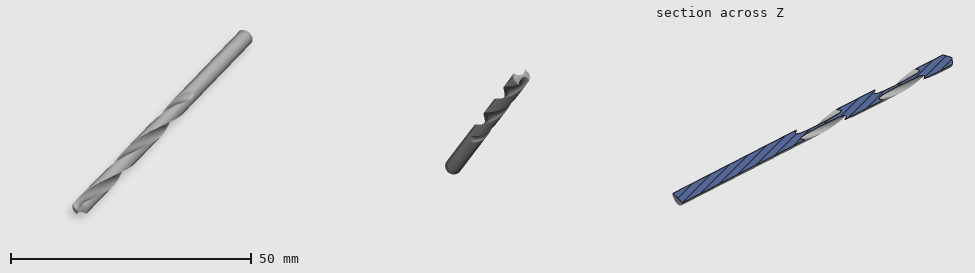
import cadquery as cq
import math


diameter = 3.5
radius = diameter / 2
overall_length = 70.0
point_angle = 118.0
point_length = radius / math.tan(math.radians(point_angle / 2))

flute_count = 2
flute_length = 40.0
flute_lead = 40.0
flute_radius = 1.2
half_web = 0.33
flute_angle = 121.0
centre_distance = half_web + flute_radius

runout_length = 6.2
runout_angle = 42.0
runout_end_slope = 0.7
clearance = 0.1
clear_distance = radius + flute_radius + clearance


def drill_blank():
    """Solid of revolution: cylinder with a conical point."""
    return (
        cq.Workplane("XY")
        .lineTo(radius, point_length)
        .lineTo(radius, overall_length)
        .lineTo(0, overall_length)
        .close()
        .revolve(360, (0, 0, 0), (0, 1, 0))
    )


def around_axis(distance, degrees, y):
    """Point at a distance and angle from the drill axis."""
    angle = math.radians(degrees)
    return cq.Vector(distance * math.cos(angle), y, distance * math.sin(angle))


turns = flute_length / flute_lead
flute_end_angle = flute_angle - 360 * turns
flute_end = around_axis(centre_distance, flute_end_angle, flute_length)


def flute_section():
    """Circular section of one flute, at the shank end of its helical length."""
    return (
        cq.Workplane("XZ", origin=(0, flute_length, 0))
        .moveTo(flute_end.x, flute_end.z)
        .circle(flute_radius)
    )


def helical_flute():
    """Flute cutter, twisted about the drill axis from the runout to the tip."""
    return flute_section().twistExtrude(flute_length, 360 * turns)


def flute_runout():
    """Continuation of the flute that starts along the helix and sweeps out of the body."""
    clear_point = around_axis(clear_distance, runout_angle, flute_length + runout_length)
    helix_slope = 2 * math.pi * centre_distance / flute_lead
    helix_tangent = around_axis(helix_slope, flute_end_angle - 90, 1)
    end_tangent = cq.Vector(runout_end_slope, 1, 0)
    path = cq.Edge.makeSpline([flute_end, clear_point], [helix_tangent, end_tangent])
    return flute_section().sweep(cq.Workplane(obj=path))


result = drill_blank()
for index in range(flute_count):
    turn = index * 360 / flute_count
    for cutter in (helical_flute(), flute_runout()):
        result = result.cut(cutter.rotate((0, 0, 0), (0, 1, 0), turn))